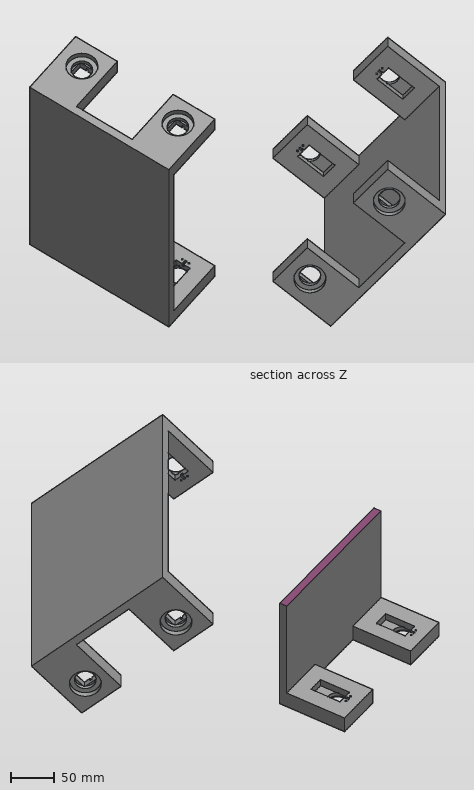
import cadquery as cq

WIDTH = 200.0
DEPTH = 90.0
HEIGHT = 310.0

PLATE_THICKNESS = 10.0
ARM_WIDTH = 60.0
ARM_THICKNESS = 21.25

HOLE_SPACING = 138.0
HOLE_TO_ARM_TIP = 30.0
COUNTERBORE_DIAMETER = 37.0
COUNTERBORE_DEPTH = 7.0
BORE_DIAMETER = 25.0
BORE_LENGTH = 5.0

SLOT_WIDTH = 20.0
SLOT_LENGTH = 40.0
SLOT_DEPTH = ARM_THICKNESS - COUNTERBORE_DEPTH - BORE_LENGTH

NOTCH_WIDTH = 2.5
NOTCH_LENGTH = 6.0
NOTCH_DEPTH = 4.0
PIN_HOLE_DIAMETER = 2.0
PIN_HOLE_SPACING = 9.5
PIN_HOLE_TO_SLOT_END = 5.0

HOLE_Y = DEPTH / 2 - HOLE_TO_ARM_TIP
SLOT_END_Y = HOLE_Y + SLOT_WIDTH / 2
OUTER_Z = HEIGHT / 2
INNER_Z = OUTER_Z - ARM_THICKNESS


def make_bracket():
    """Upright plate with a pair of arms at its top and at its bottom."""
    body = cq.Workplane("XY").box(WIDTH, DEPTH, HEIGHT)
    reach = DEPTH - PLATE_THICKNESS
    between_levels = cq.Workplane("XY").box(WIDTH, reach, 2 * INNER_Z)
    between_sides = cq.Workplane("XY").box(WIDTH - 2 * ARM_WIDTH, reach, HEIGHT)
    gaps = between_levels.union(between_sides).translate((0, PLATE_THICKNESS / 2, 0))
    return body.cut(gaps)


def make_counterbored_hole(x):
    """Counterbore and bore from the outer face of an upper arm down to the slot."""
    outer_face = cq.Workplane("XY", origin=(x, HOLE_Y, OUTER_Z))
    counterbore = outer_face.circle(COUNTERBORE_DIAMETER / 2).extrude(-COUNTERBORE_DEPTH)
    bore = outer_face.circle(BORE_DIAMETER / 2).extrude(-COUNTERBORE_DEPTH - BORE_LENGTH)
    return counterbore.union(bore)


def make_slot(x):
    """Slot in the inner face of an upper arm, running from its end back toward the plate."""
    slot_end = cq.Workplane("XY", origin=(x, SLOT_END_Y, INNER_Z))
    return slot_end.center(0, -SLOT_LENGTH / 2).rect(SLOT_WIDTH, SLOT_LENGTH).extrude(SLOT_DEPTH)


def make_notch_and_pin_holes(x):
    """Notch and pair of blind holes in the inner face of an upper arm, beyond the slot end."""
    slot_end = cq.Workplane("XY", origin=(x, SLOT_END_Y, INNER_Z))
    notch = slot_end.center(0, NOTCH_LENGTH / 2).rect(NOTCH_WIDTH, NOTCH_LENGTH).extrude(NOTCH_DEPTH)
    pin_positions = [(side * PIN_HOLE_SPACING / 2, PIN_HOLE_TO_SLOT_END) for side in (-1, 1)]
    pin_holes = slot_end.pushPoints(pin_positions).circle(PIN_HOLE_DIAMETER / 2).extrude(NOTCH_DEPTH)
    return notch.union(pin_holes)


result = make_bracket()
for arm_side in (-1, 1):
    arm_x = arm_side * HOLE_SPACING / 2
    for make_cutout in (make_counterbored_hole, make_slot, make_notch_and_pin_holes):
        cutout = make_cutout(arm_x)
        result = result.cut(cutout).cut(cutout.mirror("XY"))